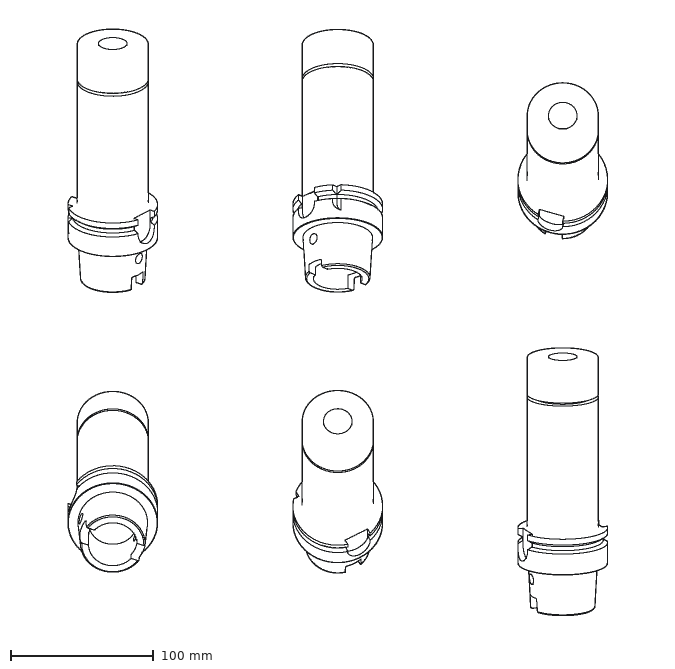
import cadquery as cq

TOTAL_HEIGHT = 182.0
FLANGE_BOTTOM = 32.0
FLANGE_TOP = 58.0

SHANK_TOP_DIAMETER = 48.8
SHANK_TIP_DIAMETER = 45.3
SHANK_TIP_CHAMFER = 1.0
SHANK_BORE_DIAMETER = 34.0
SHANK_BORE_DEPTH = FLANGE_BOTTOM
CROSS_HOLE_DIAMETER = 7.5
CROSS_HOLE_HEIGHT = 23.1
TIP_SLOT_WIDTH = 12.5
TIP_SLOT_CORNER_RADIUS = 1.0
SHALLOW_TIP_SLOT_DEPTH = 5.8
DEEP_TIP_SLOT_DEPTH = 10.4

FLANGE_DIAMETER = 63.0
FLANGE_CHAMFER = 0.4
GROOVE_DIAMETER = 56.8
GROOVE_LOWER_EDGE = 47.3
GROOVE_UPPER_EDGE = 53.9
GROOVE_FLOOR_BOTTOM = 49.0
GROOVE_FLOOR_TOP = 51.9

SLOT_BOTTOM = 37.3
KEYWAY_FLOOR = 26.4
NARROW_KEYWAY_WIDTH = 16.0
WIDE_KEYWAY_WIDTH = 18.0
NOTCH_WALL = 20.0

BODY_DIAMETER = 50.0
BODY_FOOT_FILLET = 1.0
NECK_DIAMETER = 40.0
NECK_BOTTOM = 152.9
NECK_TOP = 155.0
TOP_FILLET = 1.0
TOOL_BORE_DIAMETER = 20.0
TOOL_BORE_DEPTH = 51.0


def turned_body():
    """Revolve the whole outer profile about Z."""
    shank_tip = SHANK_TIP_DIAMETER / 2
    flange = FLANGE_DIAMETER / 2
    groove = GROOVE_DIAMETER / 2
    body = BODY_DIAMETER / 2
    neck = NECK_DIAMETER / 2
    profile = (
        cq.Workplane("XZ")
        .moveTo(0, 0)
        .lineTo(shank_tip - SHANK_TIP_CHAMFER, 0)
        .lineTo(shank_tip, SHANK_TIP_CHAMFER)
        .lineTo(SHANK_TOP_DIAMETER / 2, FLANGE_BOTTOM)
        .lineTo(flange - FLANGE_CHAMFER, FLANGE_BOTTOM)
        .lineTo(flange, FLANGE_BOTTOM + FLANGE_CHAMFER)
        .lineTo(flange, GROOVE_LOWER_EDGE)
        .lineTo(groove, GROOVE_FLOOR_BOTTOM)
        .lineTo(groove, GROOVE_FLOOR_TOP)
        .lineTo(flange, GROOVE_UPPER_EDGE)
        .lineTo(flange, FLANGE_TOP)
        .lineTo(body + BODY_FOOT_FILLET, FLANGE_TOP)
        .radiusArc((body, FLANGE_TOP + BODY_FOOT_FILLET), BODY_FOOT_FILLET)
        .lineTo(body, NECK_BOTTOM)
        .lineTo(neck, NECK_BOTTOM)
        .lineTo(neck, NECK_TOP)
        .lineTo(body, NECK_TOP)
        .lineTo(body, TOTAL_HEIGHT - TOP_FILLET)
        .radiusArc((body - TOP_FILLET, TOTAL_HEIGHT), -TOP_FILLET)
        .lineTo(0, TOTAL_HEIGHT)
        .close()
    )
    return profile.revolve(360, (0, 0, 0), (0, 1, 0))


def flange_slot(side, width, center_y, floor):
    """Slot cutter with a round lower end, open upward and outward along X; side is -1 or +1."""
    radius = width / 2
    arc_height = SLOT_BOTTOM + radius
    return (
        cq.Workplane("YZ", origin=(side * floor, 0, 0))
        .moveTo(center_y - radius, FLANGE_TOP)
        .lineTo(center_y - radius, arc_height)
        .threePointArc((center_y, SLOT_BOTTOM), (center_y + radius, arc_height))
        .lineTo(center_y + radius, FLANGE_TOP)
        .close()
        .extrude(side * FLANGE_DIAMETER / 2)
    )


def tip_slot(side, depth):
    """Drive slot cutter across one wall of the shank tip; side is -1 or +1."""
    length = FLANGE_DIAMETER / 2
    return (
        cq.Workplane("XY")
        .box(length, TIP_SLOT_WIDTH, depth, centered=(True, True, False))
        .edges("|X and >Z")
        .fillet(TIP_SLOT_CORNER_RADIUS)
        .translate((side * length / 2, 0, 0))
    )


def cross_hole():
    """Hole through both walls of the shank along X."""
    return (
        cq.Workplane("YZ")
        .center(0, CROSS_HOLE_HEIGHT)
        .circle(CROSS_HOLE_DIAMETER / 2)
        .extrude(FLANGE_DIAMETER / 2, both=True)
    )


def bore(diameter, depth, bottom):
    """Blind round bore cutter on the axis."""
    return cq.Workplane("XY", origin=(0, 0, bottom)).circle(diameter / 2).extrude(depth)


notch_center_y = -NOTCH_WALL - NARROW_KEYWAY_WIDTH / 2

cutters = [
    flange_slot(-1, NARROW_KEYWAY_WIDTH, 0, KEYWAY_FLOOR),
    flange_slot(+1, WIDE_KEYWAY_WIDTH, 0, KEYWAY_FLOOR),
    flange_slot(-1, NARROW_KEYWAY_WIDTH, notch_center_y, NOTCH_WALL),
    tip_slot(-1, SHALLOW_TIP_SLOT_DEPTH),
    tip_slot(+1, DEEP_TIP_SLOT_DEPTH),
    cross_hole(),
    bore(SHANK_BORE_DIAMETER, SHANK_BORE_DEPTH, 0),
    bore(TOOL_BORE_DIAMETER, TOOL_BORE_DEPTH, TOTAL_HEIGHT - TOOL_BORE_DEPTH),
]

result = turned_body()
for cutter in cutters:
    result = result.cut(cutter)